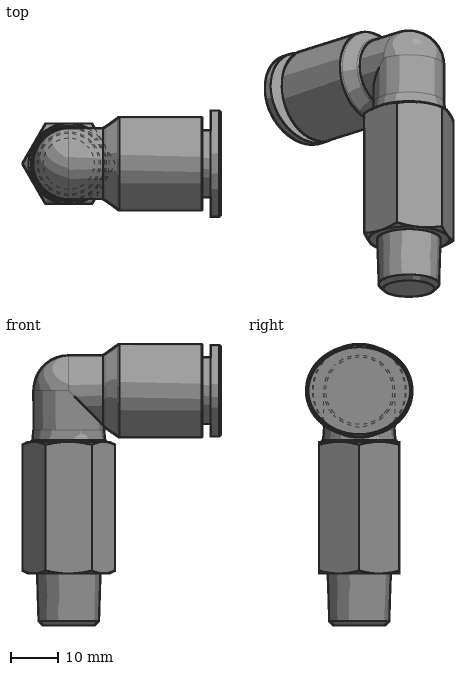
import cadquery as cq
import math

HEX_ACROSS_FLATS = 17.0
HEX_CORNER_RADIUS = HEX_ACROSS_FLATS / math.sqrt(3)
HEX_BOTTOM = 11.0
HEX_TOP = 38.8
HEX_END_RADIUS = 8.5
HEX_CHAMFER_DROP = 0.6

THREAD_TOP_RADIUS = 6.72
THREAD_TAPER = 1 / 16
THREAD_CHAMFER = 1.0

BODY_RADIUS = 9.9
OVERALL_HEIGHT = 59.5
AXIS_HEIGHT = OVERALL_HEIGHT - BODY_RADIUS

ELBOW_RADIUS = 7.5
COLLAR_HEIGHT = 2.5
COLLAR_LIP_HEIGHT = 0.4
COLLAR_TOP = HEX_TOP + COLLAR_HEIGHT
COLLAR_LIP = HEX_TOP + COLLAR_LIP_HEIGHT
COLLAR_RADIUS = 7.7
COLLAR_FOOT_RADIUS = 8.0

SHOULDER_START = 7.2
SHOULDER_LEDGE = 7.7
SHOULDER_LEDGE_RADIUS = 7.8
SHOULDER_CONE_END = 10.25
SHOULDER_CONE_RADIUS = 9.65
BODY_START = 10.7
BODY_END = 28.2
BODY_END_CHAMFER = 0.2
NECK_RADIUS = 7.1

RING_START = 29.95
RING_END = 32.2
RING_WIDTH = 22.5
RING_HEIGHT = 19.4
RING_CHAMFER = 0.5


def revolve_about_z(profile):
    """Solid of revolution from (radius, z) points; the profile closes on the Z axis."""
    return cq.Workplane("XZ").polyline(profile).close().revolve(360, (0, 0, 0), (0, 1, 0))


def revolve_about_socket_axis(profile):
    """Solid of revolution from (x, radius) points around the horizontal socket axis."""
    return (
        cq.Workplane("XZ", origin=(0, 0, AXIS_HEIGHT))
        .polyline(profile)
        .close()
        .revolve(360, (0, 0, 0), (1, 0, 0))
    )


def make_thread():
    """Tapered male end with a chamfered tip."""
    taper_length = HEX_BOTTOM - THREAD_CHAMFER
    lower_radius = THREAD_TOP_RADIUS - taper_length * THREAD_TAPER / 2
    return revolve_about_z([
        (0, 0),
        (lower_radius - THREAD_CHAMFER, 0),
        (lower_radius, THREAD_CHAMFER),
        (THREAD_TOP_RADIUS, HEX_BOTTOM),
        (0, HEX_BOTTOM),
    ])


def make_hexagon():
    """Long hexagon with corners on the X axis, both ends turned to a cone."""
    prism = (
        cq.Workplane("XY", origin=(0, 0, HEX_BOTTOM))
        .polygon(6, 2 * HEX_CORNER_RADIUS)
        .extrude(HEX_TOP - HEX_BOTTOM)
    )
    turned_blank = revolve_about_z([
        (0, HEX_BOTTOM),
        (HEX_END_RADIUS, HEX_BOTTOM),
        (HEX_CORNER_RADIUS, HEX_BOTTOM + HEX_CHAMFER_DROP),
        (HEX_CORNER_RADIUS, HEX_TOP - HEX_CHAMFER_DROP),
        (HEX_END_RADIUS, HEX_TOP),
        (0, HEX_TOP),
    ])
    return prism.intersect(turned_blank)


def make_elbow():
    """Upright stem with flared collar, spherical corner and horizontal arm."""
    stem = revolve_about_z([
        (0, HEX_TOP),
        (COLLAR_FOOT_RADIUS, HEX_TOP),
        (COLLAR_RADIUS, COLLAR_LIP),
        (ELBOW_RADIUS, COLLAR_TOP),
        (ELBOW_RADIUS, AXIS_HEIGHT),
        (0, AXIS_HEIGHT),
    ])
    corner = cq.Workplane("XY", origin=(0, 0, AXIS_HEIGHT)).sphere(ELBOW_RADIUS)
    arm = revolve_about_socket_axis([
        (0, 0),
        (0, ELBOW_RADIUS),
        (SHOULDER_LEDGE, ELBOW_RADIUS),
        (SHOULDER_LEDGE, 0),
    ])
    return stem.union(corner).union(arm)


def make_socket():
    """Conical shoulder, cylindrical body and the neck that carries the release ring."""
    return revolve_about_socket_axis([
        (SHOULDER_START, 0),
        (SHOULDER_START, ELBOW_RADIUS),
        (SHOULDER_LEDGE, SHOULDER_LEDGE_RADIUS),
        (SHOULDER_CONE_END, SHOULDER_CONE_RADIUS),
        (BODY_START, BODY_RADIUS),
        (BODY_END - BODY_END_CHAMFER, BODY_RADIUS),
        (BODY_END, BODY_RADIUS - BODY_END_CHAMFER),
        (BODY_END, NECK_RADIUS),
        (RING_START, NECK_RADIUS),
        (RING_START, 0),
    ])


def make_release_ring():
    """Oval push ring, wider along Y, with a chamfered outer face."""
    return (
        cq.Workplane("YZ", origin=(RING_START, 0, AXIS_HEIGHT))
        .ellipse(RING_WIDTH / 2, RING_HEIGHT / 2)
        .extrude(RING_END - RING_START)
        .faces(">X")
        .chamfer(RING_CHAMFER)
    )


result = (
    make_thread()
    .union(make_hexagon())
    .union(make_elbow())
    .union(make_socket())
    .union(make_release_ring())
)